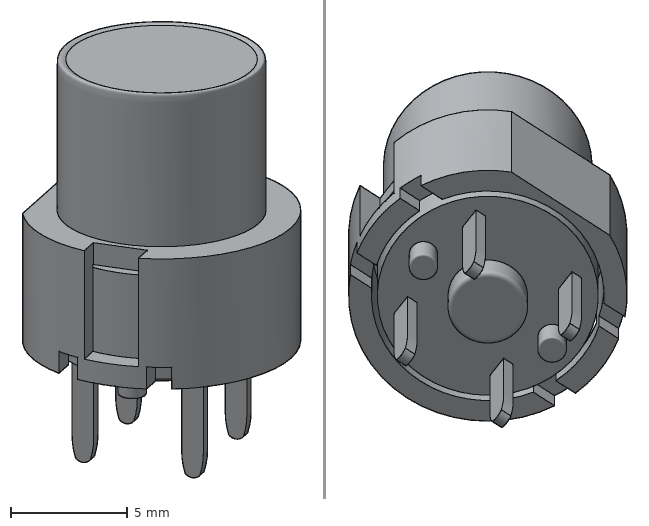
import cadquery as cq


button_height = 13.0
skirt_height = 6.0
skirt_radius = 6.0
skirt_bore_radius = 5.0
flat_distance = 5.4
roof_thickness = 1.0
cap_radius = 4.5
rim_height = 0.36
rim_width = 0.38
rim_crest_inset = 0.13
top_sink = 0.07
rim_end_slope = 0.5

window_width = 2.5
window_back = 4.8
ledge_height = 1.0
notch_width = 1.0
tab_width = 3.2

base_radius = 4.75
top_gap = 0.23
boss_height = 1.3
centre_boss_radius = 1.71
centre_boss_edge = 0.2
side_boss_radius = 0.61
side_boss_edge = 0.09
side_boss_offset = 3.4

pin_length = 5.0
pin_width = 1.0
pin_thickness = 0.5
pin_pitch = 5.08
tip_length = 1.19
tip_end_width = 0.68
tip_end_height = 0.16


def make_button():
    roof_underside = skirt_height - roof_thickness
    skirt = cq.Workplane("XY").circle(skirt_radius).extrude(skirt_height)
    flat_cut_depth = skirt_radius - flat_distance
    flat_cut = cq.Workplane("XY").box(
        flat_cut_depth, 2 * skirt_radius, skirt_height, centered=(False, True, False)
    ).translate((-skirt_radius, 0, 0))
    bore = cq.Workplane("XY").circle(skirt_bore_radius).extrude(roof_underside)
    button = skirt.cut(flat_cut).cut(bore).union(make_cap())
    for side in (-1, 1):
        button = button.cut(make_window(side))
        for end in (-1, 1):
            button = button.cut(make_notch(side, end))
    return button


def make_cap():
    rim_start = (cap_radius, button_height - rim_height)
    rim_crest = (cap_radius - rim_crest_inset, button_height)
    rim_tangents = [(0, 1), (-1, 0), (-1, -rim_end_slope)]
    top_edge = (cap_radius - rim_width, button_height - top_sink)
    return (
        cq.Workplane("XZ")
        .moveTo(0, skirt_height)
        .lineTo(cap_radius, skirt_height)
        .lineTo(*rim_start)
        .spline([rim_crest, top_edge], tangents=rim_tangents, includeCurrent=True)
        .lineTo(0, button_height - top_sink)
        .close()
        .revolve(360, (0, 0, 0), (0, 1, 0))
    )


def make_window(side):
    depth = skirt_radius - window_back
    return cq.Workplane("XY").box(
        window_width, depth, skirt_height - ledge_height, centered=(True, True, False)
    ).translate((0, side * (window_back + depth / 2), ledge_height))


def make_notch(side, end):
    inner_end = skirt_bore_radius / 2
    depth = skirt_radius - inner_end
    return cq.Workplane("XY").box(
        notch_width, depth, ledge_height, centered=(True, True, False)
    ).translate((end * (tab_width + notch_width) / 2, side * (inner_end + depth / 2), 0))


def make_boss(radius, edge_radius, y):
    return (
        cq.Workplane("XY", origin=(0, y, 0))
        .circle(radius)
        .extrude(-boss_height)
        .faces("<Z")
        .edges()
        .fillet(edge_radius)
    )


def make_base():
    base_height = skirt_height - roof_thickness - top_gap
    base = cq.Workplane("XY").circle(base_radius).extrude(base_height)
    base = base.union(make_boss(centre_boss_radius, centre_boss_edge, 0))
    for side in (-1, 1):
        base = base.union(make_boss(side_boss_radius, side_boss_edge, side * side_boss_offset))
    return base


def make_pin(x, y):
    half_width = pin_width / 2
    half_end = tip_end_width / 2
    tip_start = tip_length - pin_length
    end_start = tip_end_height - pin_length
    step_in = half_width - half_end
    drop = tip_length - tip_end_height
    side_radius = (step_in**2 + drop**2) / (2 * step_in)
    return (
        cq.Workplane("XZ", origin=(x, y, 0))
        .moveTo(-half_width, 0)
        .lineTo(half_width, 0)
        .lineTo(half_width, tip_start)
        .radiusArc((half_end, end_start), side_radius)
        .threePointArc((0, -pin_length), (-half_end, end_start))
        .radiusArc((-half_width, tip_start), side_radius)
        .close()
        .extrude(pin_thickness / 2, both=True)
    )


button = make_button()
base = make_base()

pins = []
for x in (-pin_pitch / 2, pin_pitch / 2):
    for y in (-pin_pitch / 2, pin_pitch / 2):
        pins.append(make_pin(x, y).val())

result = cq.Compound.makeCompound([button.val(), base.val(), *pins])